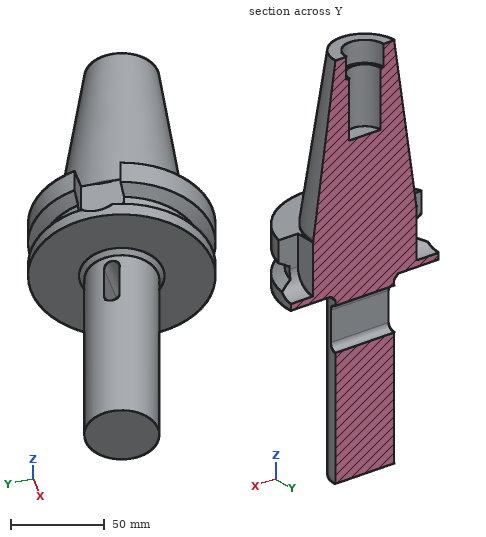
import cadquery as cq

total_length = 251.8
taper_length = 101.7
gauge_radius = 69.7 / 2
taper_tip_radius = 40.0 / 2
shank_radius = 40.0 / 2
shank_bottom = taper_length - total_length

flange_radius = 100.0 / 2
groove_radius = 85.5 / 2
flange_top = -1.5
groove_top = -15.0
groove_floor_top = -19.5
groove_floor_bottom = -26.5
groove_bottom = -30.5
flange_bottom = -38.0
collar_height = 2.8
collar_radius = shank_radius + collar_height

keyway_width = 25.5
keyway_floor = 35.3
keyway_bottom = -33.7

drift_width = 8.5
drift_top = -44.3
drift_bottom = -72.0

bore_radius = 25.0 / 2
bore_depth = 13.5
pilot_radius = 21.0 / 2
pilot_depth = 50.4


def make_body():
    profile = [
        (0, shank_bottom),
        (shank_radius, shank_bottom),
        (shank_radius, flange_bottom - collar_height),
        (collar_radius, flange_bottom),
        (flange_radius, flange_bottom),
        (flange_radius, groove_bottom),
        (groove_radius, groove_floor_bottom),
        (groove_radius, groove_floor_top),
        (flange_radius, groove_top),
        (flange_radius, flange_top),
        (gauge_radius, flange_top),
        (gauge_radius, 0),
        (taper_tip_radius, taper_length),
        (0, taper_length),
    ]
    return cq.Workplane("XZ").polyline(profile).close().revolve(360, (0, 0), (0, 1))


def make_keyway(side):
    """Round-bottomed keyway, open at the flange top; side is -1 or +1 along X."""
    radius = keyway_width / 2
    arc_center = keyway_bottom + radius
    return (
        cq.Workplane("YZ", origin=(side * keyway_floor, 0, 0))
        .moveTo(-radius, flange_top)
        .lineTo(-radius, arc_center)
        .threePointArc((0, keyway_bottom), (radius, arc_center))
        .lineTo(radius, flange_top)
        .close()
        .extrude(side * flange_radius)
    )


def make_drift_slot():
    return (
        cq.Workplane("YZ")
        .center(0, (drift_top + drift_bottom) / 2)
        .slot2D(drift_top - drift_bottom, drift_width, 90)
        .extrude(2 * shank_radius, both=True)
    )


def make_bore(radius, depth):
    return cq.Workplane("XY", origin=(0, 0, taper_length)).circle(radius).extrude(-depth)


result = make_body()
for side in (-1, 1):
    result = result.cut(make_keyway(side))
result = result.cut(make_drift_slot())
result = result.cut(make_bore(bore_radius, bore_depth))
result = result.cut(make_bore(pilot_radius, pilot_depth))